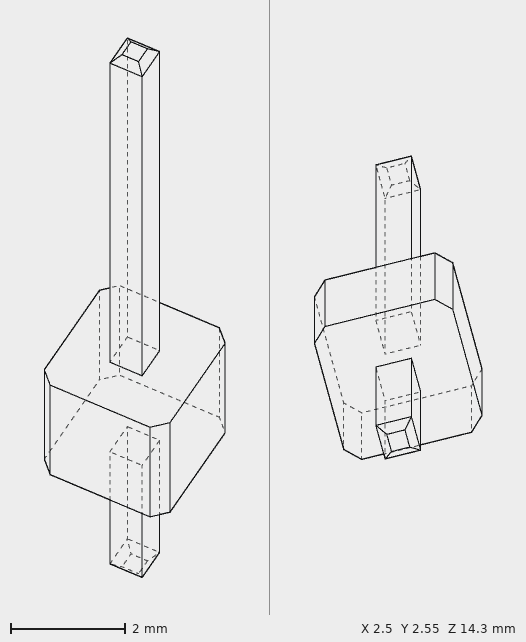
import cadquery as cq

pin_length = 14.3
pin_width = 0.65
tip_bevel = 0.16

block_x = 2.5
block_y = 2.55
block_height = 2.5
block_bottom = 3.29
corner_cut = 0.26


def make_block():
    """Plastic block with its four vertical edges cut off."""
    block = cq.Workplane("XY").workplane(offset=block_bottom).rect(block_x, block_y).extrude(block_height)
    return block.edges("|Z").chamfer(corner_cut)


def make_pin():
    """Square pin with both ends bevelled."""
    pin = cq.Workplane("XY").rect(pin_width, pin_width).extrude(pin_length)
    pin = pin.faces(">Z").chamfer(tip_bevel)
    return pin.faces("<Z").chamfer(tip_bevel)


result = make_block().union(make_pin())